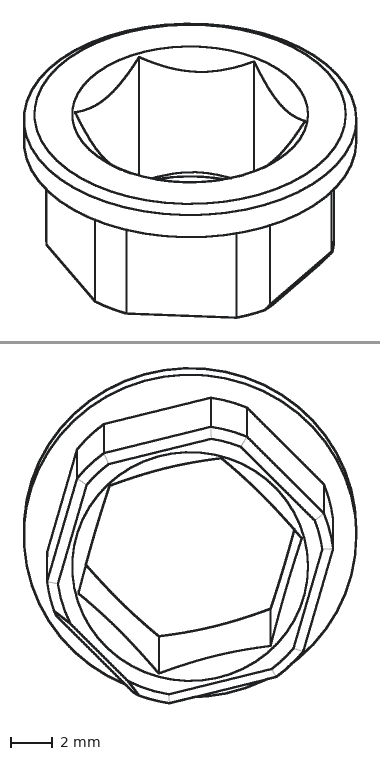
import cadquery as cq
import math

hexagon_sides = 6
flange_diameter = 15.88
total_height = 7.59
flange_thickness = 1.59
body_across_flats = 12.7
body_corner_diameter = 13.75
bore_across_flats = 9.53
bore_lead_in_diameter = 11.26
edge_chamfer_width = 0.51
chamfer_angle = math.radians(30)
lead_in_angle = math.radians(45)

edge_chamfer_height = edge_chamfer_width * math.tan(chamfer_angle)
body_height = total_height - flange_thickness


def hexagon(across_flats, height):
    """Hexagonal prism standing on Z = 0 with corners on the X axis."""
    across_corners = across_flats / math.cos(math.pi / hexagon_sides)
    return cq.Workplane("XY").polygon(hexagon_sides, across_corners).extrude(height)


corner_cylinder = cq.Workplane("XY").circle(body_corner_diameter / 2).extrude(body_height)
body = hexagon(body_across_flats, body_height).intersect(corner_cylinder)
body = body.faces("<Z").chamfer(edge_chamfer_width, edge_chamfer_height)

flange = (
    cq.Workplane("XY")
    .workplane(offset=body_height)
    .circle(flange_diameter / 2)
    .extrude(flange_thickness)
    .faces(">Z")
    .chamfer(edge_chamfer_height, edge_chamfer_width)
)

bore = hexagon(bore_across_flats, total_height)
lead_in_radius = bore_lead_in_diameter / 2
lead_in_cone_height = lead_in_radius * math.tan(lead_in_angle)
lower_lead_in = cq.Workplane("XY").add(
    cq.Solid.makeCone(lead_in_radius, 0, lead_in_cone_height)
)
upper_lead_in = lower_lead_in.mirror("XY").translate((0, 0, total_height))

result = body.union(flange).cut(bore).cut(lower_lead_in).cut(upper_lead_in)